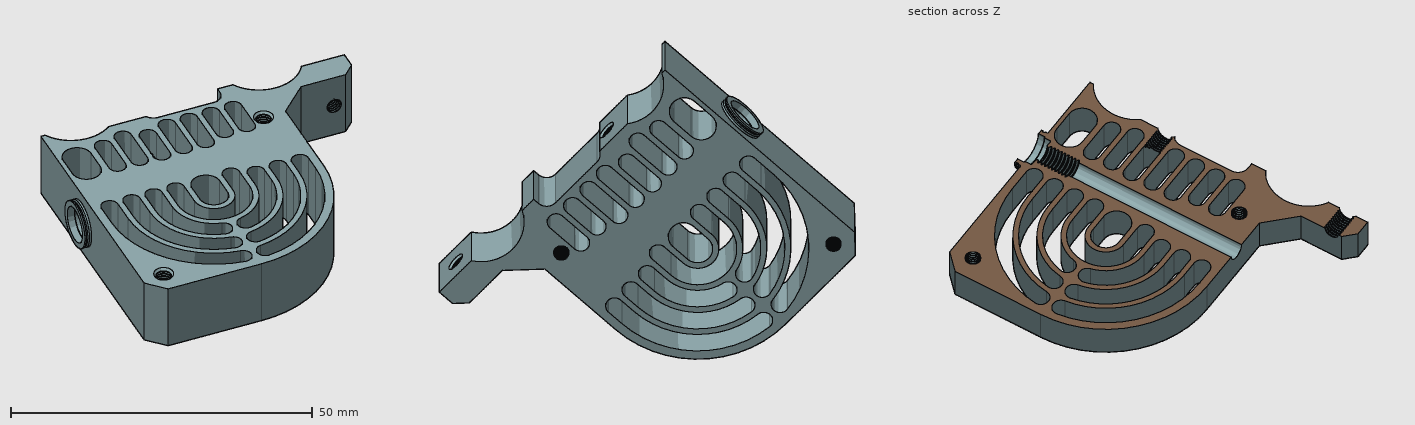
import cadquery as cq
import math

thickness = 12.0
body_length = 46.0
body_height = 39.95
tab_top = 54.95
collar_projection = 1.25
mid_z = thickness / 2

corner_radius = body_height / 2
rings_x = body_length - corner_radius
rings_y = body_height / 2
corner_chamfer = 3.05
tab_width = 5.0
tab_chamfer = 1.95
gusset_size = 5.0
clamp_radius = 7.15
clamp_x = -3.55
clamp_ys = (6.95, 40.95)
recess_depth = 3.1
recess_bottom = 17.85
recess_top = 32.0
recess_fillet = 2.0
lower_step_depth = 2.1

slot_width = 3.0
wall = 1.0
rim = 1.5
slot_radius = slot_width / 2
slot_pitch = slot_width + wall
ring_count = 4
quarter_ring_count = 3
upper_ring_left = 21.5
lower_ring_left = 20.3
column_bottom_y = 8.5
column_slots = (
    (5.0, 13.8),
    (4.05, 13.8),
    (5.35, 14.0),
    (4.05, 13.8),
    (4.05, 13.8),
    (4.05, 12.6),
    (4.05, 12.6),
)
wide_slot_width = 5.0
wide_slot_y = 3.3

screw_diameter = 2.55
screw_mouth = 3.3
thread_diameter = 3.0
thread_pitch = 0.5
top_screws = ((10.0, 35.95), (42.0, 4.0))
tab_screw_y = 51.0
side_screw_row = 2
side_screw_y = column_bottom_y + side_screw_row * slot_pitch

port_x = 17.05
collar_diameter = 8.3
groove_diameter = 7.9
groove_start = 0.4
groove_slope = 0.2
groove_end = 0.9
port_mouth = 6.3
port_bore = 5.9
mouth_depth = 0.05
port_depth = 1.35
passage_mouth = 3.75
passage_thread = 4.1
passage_diameter = 3.1
passage_pitch = 0.7
passage_thread_depth = 6.75


def box(x0, x1, y0, y1):
    """Full-thickness block between two X and two Y limits."""
    return cq.Workplane("XY").box(x1 - x0, y1 - y0, thickness, centered=False).translate((x0, y0, 0))


def straight_slot(left, right, y, width):
    """Full-thickness slot along X with round ends."""
    return (
        cq.Workplane("XY")
        .center((left + right) / 2, y)
        .slot2D(right - left, width)
        .extrude(thickness)
    )


def make_body():
    """Plate with a tab at one corner, two round clamp seats and a recess along its -X side."""
    gusset_x = tab_width + gusset_size
    profile = (
        cq.Workplane("XY")
        .lineTo(body_length - corner_chamfer, 0)
        .lineTo(body_length, corner_chamfer)
        .lineTo(body_length, rings_y)
        .radiusArc((rings_x, body_height), -corner_radius)
        .lineTo(gusset_x, body_height)
        .lineTo(tab_width, body_height + gusset_size)
        .lineTo(tab_width, tab_top - tab_chamfer)
        .lineTo(tab_width - tab_chamfer, tab_top)
        .lineTo(0, tab_top)
        .close()
    )
    body = profile.extrude(thickness)
    recess = box(-recess_depth, recess_depth, recess_bottom, recess_top)
    body = body.cut(recess.edges("|Z").fillet(recess_fillet))
    body = body.cut(box(0, lower_step_depth, clamp_ys[0], (recess_bottom + recess_top) / 2))
    for y in clamp_ys:
        body = body.cut(cq.Workplane("XY").center(clamp_x, y).circle(clamp_radius).extrude(thickness))
    return body


def ring_slot(outer, left, side, split):
    """Slot from its left end around the ring centre, above (side 1) or below (side -1) the X centre line."""
    inner = outer - slot_width
    middle = outer - slot_radius
    end = math.asin((wall / 2 + slot_radius) / middle) if split else 0.0
    half = (math.pi / 2 + end) / 2

    def at(radius, angle):
        return (rings_x + radius * math.cos(angle), rings_y + side * radius * math.sin(angle))

    left_x = left + slot_radius
    path = (
        cq.Workplane("XY")
        .moveTo(left_x, rings_y + side * outer)
        .lineTo(rings_x, rings_y + side * outer)
        .threePointArc(at(outer, half), at(outer, end))
    )
    if split:
        end_x, end_y = at(middle, end)
        tip = (end_x + slot_radius * math.sin(end), end_y - side * slot_radius * math.cos(end))
        path = path.threePointArc(tip, at(inner, end))
    else:
        path = path.lineTo(*at(inner, end))
    return (
        path.threePointArc(at(inner, half), (rings_x, rings_y + side * inner))
        .lineTo(left_x, rings_y + side * inner)
        .threePointArc((left, rings_y + side * middle), (left_x, rings_y + side * outer))
        .close()
        .extrude(thickness)
    )


def cut_ring_slots(body):
    """Concentric slots around the ring centre; only the innermost ring is not split."""
    for index in range(ring_count):
        outer = corner_radius - rim - index * slot_pitch
        split = index < quarter_ring_count
        upper_left = upper_ring_left if split else lower_ring_left
        body = body.cut(ring_slot(outer, upper_left, 1, split))
        body = body.cut(ring_slot(outer, lower_ring_left, -1, split))
    core_radius = corner_radius - rim - ring_count * slot_pitch
    return body.cut(straight_slot(lower_ring_left, rings_x + core_radius, rings_y, 2 * core_radius))


def cut_column_slots(body):
    """Column of slots along the -X side, with a wider one below them."""
    for row, (left, right) in enumerate(column_slots):
        body = body.cut(straight_slot(left, right, column_bottom_y + row * slot_pitch, slot_width))
    wide_left, wide_right = column_slots[0]
    return body.cut(straight_slot(wide_left, wide_right, wide_slot_y, wide_slot_width))


def threaded_hole(start, direction, depth, mouth, core, thread, pitch):
    """Hole cutter with a 45 degree countersink at its start and ring-shaped thread grooves along it."""
    sink = (mouth - core) / 2
    quarter = pitch / 4
    profile = cq.Workplane("XZ").lineTo(mouth / 2, 0).lineTo(core / 2, sink)
    for turn in range(int((depth - sink) / pitch)):
        groove = sink + turn * pitch
        profile = (
            profile.lineTo(core / 2, groove + quarter)
            .lineTo(thread / 2, groove + 2 * quarter)
            .lineTo(thread / 2, groove + 3 * quarter)
            .lineTo(core / 2, groove + pitch)
        )
    hole = profile.lineTo(core / 2, depth).lineTo(0, depth).close().revolve(360, (0, 0), (0, 1))
    frame = cq.Plane(origin=start, normal=direction)
    return cq.Workplane(hole.val().moved(cq.Location(frame)))


def screw_hole(start, direction, depth):
    """Threaded hole cutter in the size shared by all the screws."""
    return threaded_hole(start, direction, depth, screw_mouth, screw_diameter, thread_diameter, thread_pitch)


def cut_screw_holes(body):
    """Holes down through the plate, through the tab and into one column slot."""
    for x, y in top_screws:
        body = body.cut(screw_hole((x, y, thickness), (0, 0, -1), thickness))
    body = body.cut(screw_hole((0, tab_screw_y, mid_z), (1, 0, 0), tab_width))
    side_depth = column_slots[side_screw_row][0] + slot_radius - lower_step_depth
    side_start = (lower_step_depth, side_screw_y, mid_z)
    return body.cut(screw_hole(side_start, (1, 0, 0), side_depth))


def port_profile(points):
    """Solid turned about the port axis from (radius, Y position) points; it is closed along the axis."""
    (_, first_y), (_, last_y) = points[0], points[-1]
    outline = [(0, first_y)] + points + [(0, last_y)]
    turned = cq.Workplane("XY").polyline(outline).close().revolve(360, (0, 0), (0, 1))
    return turned.translate((port_x, 0, mid_z))


def add_port(body):
    """Grooved collar with a stepped socket, and a passage through the plate along Y."""
    outer = collar_diameter / 2
    neck = groove_diameter / 2
    collar = port_profile([
        (outer, 0),
        (outer, -groove_start),
        (neck, -groove_start - groove_slope),
        (neck, -groove_end),
        (outer, -groove_end),
        (outer, -collar_projection),
    ])
    socket = port_profile([
        (port_mouth / 2, -collar_projection),
        (port_mouth / 2, mouth_depth),
        (port_bore / 2, mouth_depth),
        (port_bore / 2, port_depth),
    ])
    passage = threaded_hole(
        (port_x, port_depth, mid_z), (0, 1, 0), passage_thread_depth,
        passage_mouth, passage_diameter, passage_thread, passage_pitch,
    )
    bore = port_profile([(passage_diameter / 2, port_depth), (passage_diameter / 2, body_height)])
    return body.union(collar).cut(socket).cut(passage).cut(bore)


result = make_body()
result = cut_ring_slots(result)
result = cut_column_slots(result)
result = cut_screw_holes(result)
result = add_port(result)